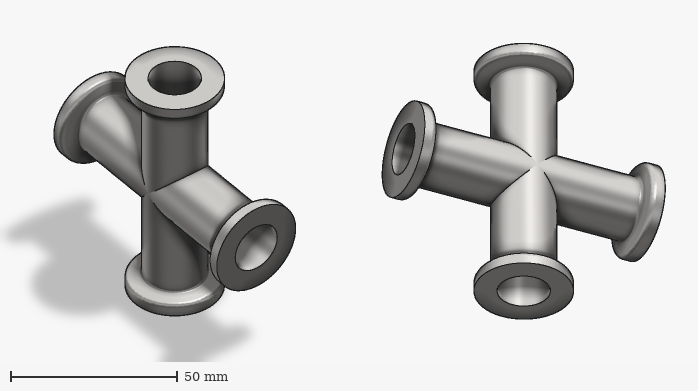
import cadquery as cq
import math

span = 80.0
flange_diameter = 30.0
tube_diameter = 20.0
bore_diameter = 16.0

rim_thickness = 3.9
back_angle = 15.0
rim_fillet = 1.5
neck_fillet = 1.0

half_span = span / 2
flange_radius = flange_diameter / 2
tube_radius = tube_diameter / 2
cone_rise = (flange_radius - tube_radius) * math.tan(math.radians(back_angle))
rim_z = half_span - rim_thickness
neck_z = rim_z - cone_rise


def circle_at(radius, z):
    """Selector for the single circular edge centred on Z at height z."""
    margin = 0.1
    reach = radius + margin
    return cq.selectors.BoxSelector(
        (-reach, -reach, z - margin), (reach, reach, z + margin), boundingbox=True
    )


def flanged_arm():
    """Solid arm from the centre up +Z, ending in a flange with a tapered back."""
    arm = (
        cq.Workplane("XZ")
        .lineTo(tube_radius, 0)
        .lineTo(tube_radius, neck_z)
        .lineTo(flange_radius, rim_z)
        .lineTo(flange_radius, half_span)
        .lineTo(0, half_span)
        .close()
        .revolve(360, (0, 0, 0), (0, 1, 0))
    )
    arm = arm.edges(circle_at(flange_radius, rim_z)).fillet(rim_fillet)
    return arm.edges(circle_at(tube_radius, neck_z)).fillet(neck_fillet)


def flanged_pipe():
    """Solid straight pipe along Z with a flange at both ends."""
    arm = flanged_arm()
    return arm.union(arm.mirror("XY"))


def turned_to_x(body):
    """The same body with its Z axis laid along X."""
    return body.rotate((0, 0, 0), (0, 1, 0), 90)


upright_pipe = flanged_pipe()
cross = upright_pipe.union(turned_to_x(upright_pipe))

upright_bore = cq.Workplane("XY").circle(bore_diameter / 2).extrude(half_span, both=True)
result = cross.cut(upright_bore).cut(turned_to_x(upright_bore))